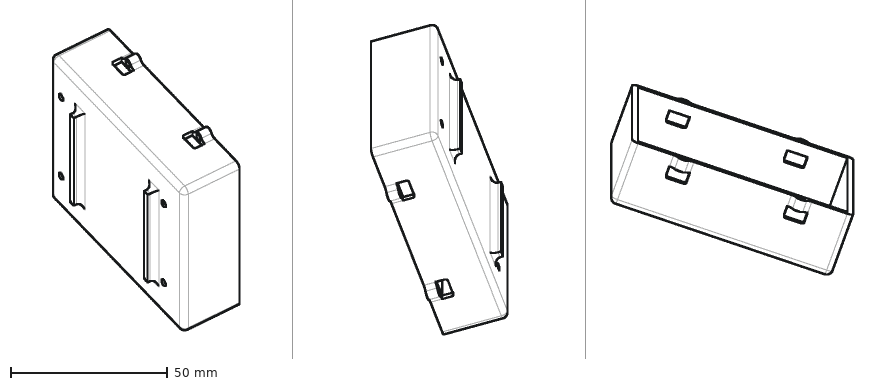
import cadquery as cq
import math

width = 75.0
height = 65.0
depth = 22.0
wall = 2.0
plate_thickness = 1.0
edge_radius = 2.0

rail_projection = 3.0
rail_width = 2.0
rail_length = 40.0
rail_flare = 2.0
rail_spacing = 41.8

hole_diameter = 2.4
hole_columns = (-31.5, 26.5)
hole_row_spacing = 36.0

lug_spacing = 40.0
lug_radius = (69.0 - height) / 2
lug_depth = 4.0
slot_depth = 2 * lug_depth
slot_corner_radius = 0.75
lug_half_width = math.sqrt(3) * lug_radius

front_y = -depth / 2
back_y = depth / 2
top_z = height / 2


def make_shell():
    """Rounded box hollowed from the back."""
    body = cq.Workplane("XY").box(width, depth, height)
    body = body.edges("|Y").fillet(edge_radius)
    body = body.faces("<Y").edges().fillet(edge_radius)
    cavity = cq.Workplane("XY").box(width - 2 * wall, depth, height - 2 * wall)
    return body.cut(cavity.translate((0, plate_thickness, 0)))


def flared_profile(plane, top_width, extrusion):
    """Symmetric prism across the rail: straight crest with concave flanks at the foot."""
    half = top_width / 2
    crest_y = front_y - rail_projection
    neck_y = front_y - rail_flare
    foot = half + rail_flare
    arc_x = foot - rail_flare * math.sin(math.pi / 4)
    arc_y = neck_y + rail_flare * math.sin(math.pi / 4)
    embed_y = front_y + plate_thickness / 2
    return (
        plane.moveTo(-half, crest_y)
        .lineTo(half, crest_y)
        .lineTo(half, neck_y)
        .threePointArc((arc_x, arc_y), (foot, front_y))
        .lineTo(foot, embed_y)
        .lineTo(-foot, embed_y)
        .lineTo(-foot, front_y)
        .threePointArc((-arc_x, arc_y), (-half, neck_y))
        .close()
        .extrude(extrusion, both=True)
    )


def make_rail():
    """Rail along Z whose side and end flares meet in mitred corners."""
    across = flared_profile(cq.Workplane("XY"), rail_width, rail_length)
    zy_plane = cq.Plane(origin=(0, 0, 0), xDir=(0, 0, 1), normal=(-1, 0, 0))
    along = flared_profile(cq.Workplane(zy_plane), rail_length, rail_length)
    return across.intersect(along)


def make_slot():
    """Cutter for a slot through the top wall, open at the back edge."""
    slot = cq.Workplane("XY").box(2 * lug_half_width, slot_depth, 2 * wall)
    slot = slot.edges("|Z and <Y").fillet(slot_corner_radius)
    return slot.translate((0, back_y - slot_depth / 2, top_z))


def make_lug():
    """Lug on the top wall: round crown, concave flanks and an eye along Y."""
    tangent_x = lug_half_width / 2
    tangent_z = lug_radius / 2
    flank_x = lug_half_width - lug_radius / 2
    flank_z = lug_radius * (1 - math.sqrt(3) / 2)
    lug = (
        cq.Workplane("XZ", origin=(0, back_y, top_z))
        .moveTo(-lug_half_width, 0)
        .threePointArc((-flank_x, flank_z), (-tangent_x, tangent_z))
        .threePointArc((0, lug_radius), (tangent_x, tangent_z))
        .threePointArc((flank_x, flank_z), (lug_half_width, 0))
        .lineTo(lug_half_width, -wall)
        .lineTo(-lug_half_width, -wall)
        .close()
        .extrude(lug_depth)
    )
    eye = cq.Workplane("XZ", origin=(0, back_y, top_z)).circle(hole_diameter / 2).extrude(lug_depth)
    return lug.cut(eye)


result = make_shell()

for x in (-rail_spacing / 2, rail_spacing / 2):
    result = result.union(make_rail().translate((x, 0, 0)))

screw_points = [(x, z) for x in hole_columns for z in (-hole_row_spacing / 2, hole_row_spacing / 2)]
screw_holes = (
    cq.Workplane("XZ", origin=(0, front_y + plate_thickness, 0))
    .pushPoints(screw_points)
    .circle(hole_diameter / 2)
    .extrude(plate_thickness)
)
result = result.cut(screw_holes)

for x in (-lug_spacing / 2, lug_spacing / 2):
    slot = make_slot().translate((x, 0, 0))
    lug = make_lug().translate((x, 0, 0))
    result = result.cut(slot).union(lug)
    result = result.cut(slot.mirror("XY")).union(lug.mirror("XY"))